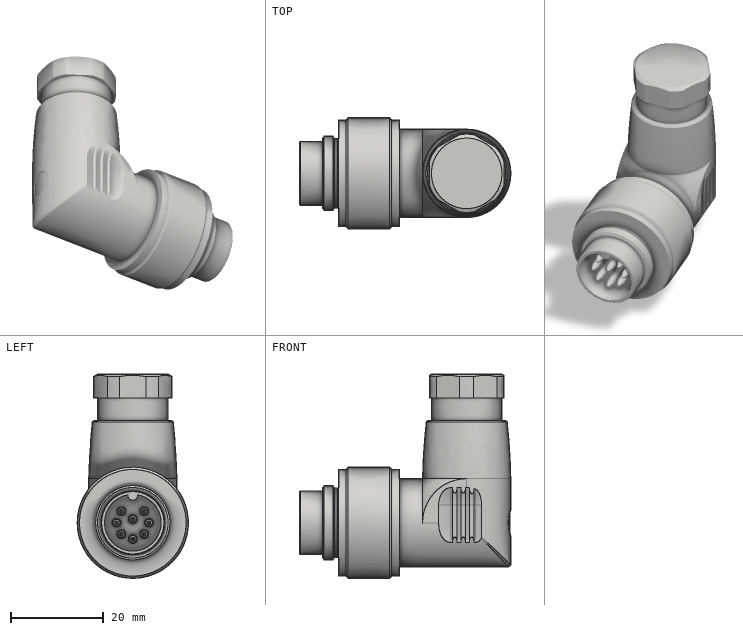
import cadquery as cq
import math


total_length = 45.5
body_radius = 9.5
outlet_x = total_length - body_radius
elbow_start = outlet_x - body_radius
ball_radius = math.sqrt(2) * body_radius
mitre_blunting = 0.3

shell_radius = 13.8 / 2
shell_edge = 0.2
shell_end = 4.9
ring_base_radius = 15.2 / 2
ring_radius = 16.0 / 2
ring_start = 5.3
ring_end = 7.2
ring_edge = 0.2
groove_radius = 15.0 / 2
groove_start = 7.5
groove_end = 8.2
nut_start = 8.4
nut_end = 21.48
nut_rim_radius = 23.0 / 2
nut_radius = 24.0 / 2
grip_start = 10.0
grip_end = 19.85
grip_bevel = 0.45

bore_radius = 12.2 / 2
bore_depth = 9.1
key_radius = 2.15 / 2
key_height = 5.9
pin_radius = 1.5 / 2
pin_circle_radius = 3.5
pin_positions = 8
inner_pin_height = 0.77
pin_tip_x = 1.1
pin_nose_radius = 0.2
pin_neck_radius = 0.35
pin_nose_length = 0.25
pin_taper_length = 1.2
pin_foot_radius = 0.95
pin_foot_length = 0.25

total_height = 44.0
top_z = total_height - nut_radius
taper_top = 22.0
taper_top_radius = 17.45 / 2
taper_edge = 0.3
taper_bow = 0.15
neck_radius = 15.2 / 2
hex_bottom = 26.9
hex_across_flats = 16.0
hex_corner_radius = 17.0 / 2
hex_top_radius = 15.2 / 2
hex_bevel_angle = 30.0

recess_depth = 1.0
recess_floor_start = 32.62
recess_floor_end = 37.85
recess_front_radius = 4.1
recess_rear_radius = 2.28
recess_bend_z = 3.78
recess_bend_radius = 7.7
recess_reach = 0.45
rib_radius = 0.5
rib_pitch = 1.8
rib_count = 3

badge_radius = 5.7 / 2
badge_depth = 0.2


def along_x(radius, start, end):
    return cq.Workplane("YZ", origin=(start, 0, 0)).circle(radius).extrude(end - start)


def outlet_cylinder(radius, bottom, top):
    return cq.Workplane("XY", origin=(outlet_x, 0, bottom)).circle(radius).extrude(top - bottom)


def plug():
    """Shell, collar ring and coupling nut, turned about the X axis."""
    points = [
        (0, 0),
        (0, shell_radius - shell_edge),
        (shell_edge, shell_radius),
        (shell_end, shell_radius),
        (shell_end, ring_base_radius),
        (ring_start - ring_edge, ring_base_radius),
        (ring_start, ring_radius),
        (ring_end, ring_radius),
        (ring_end + ring_edge, ring_base_radius),
        (groove_start, groove_radius),
        (groove_end, groove_radius),
        (nut_start, ring_base_radius),
        (nut_start, nut_rim_radius),
        (grip_start, nut_rim_radius),
        (grip_start + grip_bevel, nut_radius),
        (grip_end - grip_bevel, nut_radius),
        (grip_end, nut_rim_radius),
        (nut_end, nut_rim_radius),
        (nut_end, 0),
    ]
    return cq.Workplane("XY").polyline(points).close().revolve(360, (0, 0, 0), (1, 0, 0))


def pin(y, z):
    """Contact pin with a tapered tip, standing on a small conical foot."""
    taper_start = pin_tip_x + pin_nose_length
    points = [
        (pin_tip_x, 0),
        (pin_tip_x, pin_nose_radius),
        (taper_start, pin_neck_radius),
        (taper_start + pin_taper_length, pin_radius),
        (bore_depth - pin_foot_length, pin_radius),
        (bore_depth, pin_foot_radius),
        (bore_depth, 0),
    ]
    profile = cq.Workplane("XY").polyline(points).close()
    return profile.revolve(360, (0, 0, 0), (1, 0, 0)).translate((0, y, z))


def with_socket(body):
    """Bore the shell open, then add the round key and the pins."""
    bore = along_x(bore_radius, 0, bore_depth)
    key = along_x(key_radius, 0, bore_depth).translate((0, 0, key_height)).intersect(bore)
    body = body.cut(bore).union(key).union(pin(0, inner_pin_height))
    for i in range(1, pin_positions):
        angle = 2 * math.pi * i / pin_positions
        body = body.union(pin(pin_circle_radius * math.sin(angle), pin_circle_radius * math.cos(angle)))
    return body


def elbow():
    """Two equal cylinders mitred at the outer corner and joined by a ball in the inner one."""
    horizontal = along_x(body_radius, nut_end, outlet_x)
    upright = outlet_cylinder(body_radius, 0, body_radius)

    corner = outlet_cylinder(body_radius, -body_radius, 0)
    corner = corner.intersect(along_x(body_radius, elbow_start, total_length))
    mitre_plane = cq.Plane(origin=(outlet_x, 0, 0), xDir=(1, 0, -1), normal=(1, 0, 1))
    prism = cq.Workplane(mitre_plane).ellipse(ball_radius - mitre_blunting, body_radius)
    corner = corner.intersect(prism.extrude(2 * body_radius, both=True))

    ball = cq.Workplane("XY", origin=(outlet_x, 0, 0)).sphere(ball_radius)
    inner_block = cq.Workplane("XY", origin=(elbow_start, 0, 0)).box(
        body_radius, 2 * body_radius, body_radius, centered=(False, True, False)
    )
    return horizontal.union(upright).union(corner).union(ball.intersect(inner_block))


def taper():
    """Outlet sleeve narrowing upward with slightly bowed sides."""
    rim_z = taper_top - taper_edge
    middle_radius = (body_radius + taper_top_radius) / 2 + taper_bow
    middle_z = (body_radius + rim_z) / 2
    profile = (
        cq.Workplane("XZ")
        .moveTo(body_radius, body_radius)
        .threePointArc((middle_radius, middle_z), (taper_top_radius, rim_z))
        .lineTo(taper_top_radius - taper_edge, taper_top)
        .lineTo(0, taper_top)
        .lineTo(0, body_radius)
        .close()
    )
    return profile.revolve(360, (0, 0, 0), (0, 1, 0)).translate((outlet_x, 0, 0))


def cable_nut():
    """Hexagon with rounded corners and a bevelled top."""
    height = top_z - hex_bottom
    across_corners = hex_across_flats / math.cos(math.pi / 6)
    hexagon = (
        cq.Workplane("XY", origin=(outlet_x, 0, hex_bottom))
        .transformed(rotate=(0, 0, 90))
        .polygon(6, across_corners)
        .extrude(height)
    )
    bevel_width = hex_corner_radius - hex_top_radius
    bevel_height = bevel_width * math.tan(math.radians(hex_bevel_angle))
    envelope = outlet_cylinder(hex_corner_radius, hex_bottom, top_z)
    envelope = envelope.faces(">Z").edges().chamfer(bevel_height, bevel_width)
    return hexagon.intersect(envelope)


def side_run(radius, climb):
    """Sideways run of a side arc, tangent to the floor, once it has climbed a given height."""
    return math.sqrt(radius ** 2 - (radius - climb) ** 2)


def recess_profile(workplane):
    """Recess section: rounded sides and a floor carrying round ribs; local Y points outward."""
    outer = recess_depth + recess_reach
    middle = outer / 2
    front_end = recess_floor_start - side_run(recess_front_radius, outer)
    front_middle = recess_floor_start - side_run(recess_front_radius, middle)
    rear_middle = recess_floor_end + side_run(recess_rear_radius, middle)
    rear_end = recess_floor_end + side_run(recess_rear_radius, outer)
    floor_middle = (recess_floor_start + recess_floor_end) / 2

    profile = workplane.moveTo(front_end, outer)
    profile = profile.threePointArc((front_middle, middle), (recess_floor_start, 0))
    for i in range(rib_count):
        rib_x = floor_middle + (i - (rib_count - 1) / 2) * rib_pitch
        profile = profile.lineTo(rib_x - rib_radius, 0)
        profile = profile.threePointArc((rib_x, rib_radius), (rib_x + rib_radius, 0))
    profile = profile.lineTo(recess_floor_end, 0)
    profile = profile.threePointArc((rear_middle, middle), (rear_end, outer))
    return profile.close()


def grip_recess():
    """Cutter for the +Y flank: straight up to the bend, then swept outward on an arc."""
    floor_y = body_radius - recess_depth
    section = cq.Workplane("XY", origin=(0, floor_y, recess_bend_z))
    straight = recess_profile(section).extrude(-(recess_bend_z + body_radius))
    bend_axis = ((0, recess_bend_radius, 0), (-1, recess_bend_radius, 0))
    bend = recess_profile(section).revolve(90, *bend_axis)
    return straight.union(bend)


def badge_recess():
    disc = along_x(badge_radius, outlet_x, total_length)
    return disc.cut(outlet_cylinder(body_radius - badge_depth, -body_radius, body_radius))


recess = grip_recess()
body = (
    plug()
    .union(elbow())
    .union(taper())
    .union(outlet_cylinder(neck_radius, taper_top, hex_bottom))
    .union(cable_nut())
    .cut(recess)
    .cut(recess.mirror("XZ"))
    .cut(badge_recess())
)
result = with_socket(body)